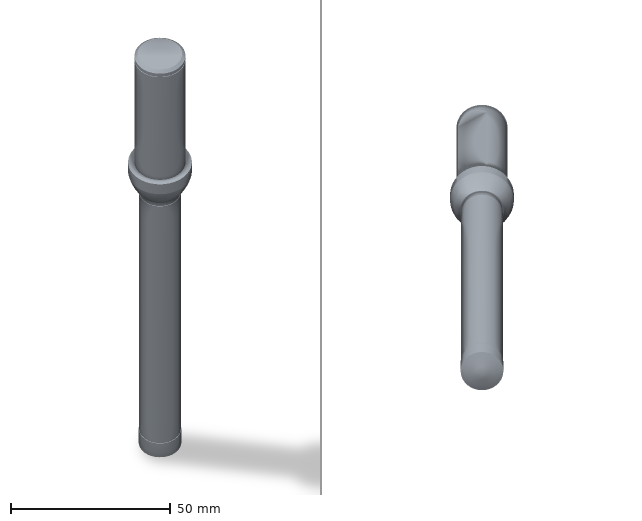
import cadquery as cq

total_height = 174.0
cone_height = 2.1
joint_height = 8.2
neck_bottom = 113.0
flare_bottom = 115.0
collar_bottom = 121.8
collar_top = 126.2

tip_diameter = 13.4
stem_diameter = 13.0
flare_diameter = 13.7
neck_diameter = 12.7
collar_diameter = 20.0
shank_diameter = 16.0
shank_end_diameter = 14.0

flare_mid_diameter = 18.5
flare_mid_height = 119.0

end_bevel_height = 0.9
groove_diameter = 15.7
groove_top = 172.6
groove_bottom = 171.5

flat_depth = 2.0
flat_bottom = 129.0
flat_top = 170.5
flat_ramp = flat_depth


def make_tip():
    """Replaceable drill head: a short cylinder with a shallow conical point."""
    radius = tip_diameter / 2
    return (
        cq.Workplane("XZ")
        .moveTo(0, 0)
        .lineTo(radius, cone_height)
        .lineTo(radius, joint_height)
        .lineTo(0, joint_height)
        .close()
        .revolve(360, (0, 0, 0), (0, 1, 0))
    )


def make_turned_body():
    """Stem, neck, flared collar and grooved shank as one revolved profile."""
    return (
        cq.Workplane("XZ")
        .moveTo(0, joint_height)
        .lineTo(stem_diameter / 2, joint_height)
        .lineTo(stem_diameter / 2, neck_bottom)
        .lineTo(neck_diameter / 2, neck_bottom)
        .lineTo(neck_diameter / 2, flare_bottom)
        .lineTo(flare_diameter / 2, flare_bottom)
        .threePointArc(
            (flare_mid_diameter / 2, flare_mid_height),
            (collar_diameter / 2, collar_bottom),
        )
        .lineTo(collar_diameter / 2, collar_top)
        .lineTo(shank_diameter / 2, collar_top)
        .lineTo(shank_diameter / 2, groove_bottom)
        .lineTo(groove_diameter / 2, groove_bottom)
        .lineTo(groove_diameter / 2, groove_top)
        .lineTo(shank_diameter / 2, groove_top)
        .lineTo(shank_diameter / 2, total_height - end_bevel_height)
        .lineTo(shank_end_diameter / 2, total_height)
        .lineTo(0, total_height)
        .close()
        .revolve(360, (0, 0, 0), (0, 1, 0))
    )


def make_flat_cutter():
    """Prism with 45 degree end ramps that removes the clamping flat."""
    outer_y = shank_diameter / 2
    floor_y = outer_y - flat_depth
    return (
        cq.Workplane("YZ")
        .moveTo(outer_y, flat_bottom)
        .lineTo(floor_y, flat_bottom + flat_ramp)
        .lineTo(floor_y, flat_top - flat_ramp)
        .lineTo(outer_y, flat_top)
        .close()
        .extrude(shank_diameter / 2, both=True)
    )


drill_tip = make_tip()
drill_body = make_turned_body().cut(make_flat_cutter())

result = cq.Compound.makeCompound([drill_body.val(), drill_tip.val()])